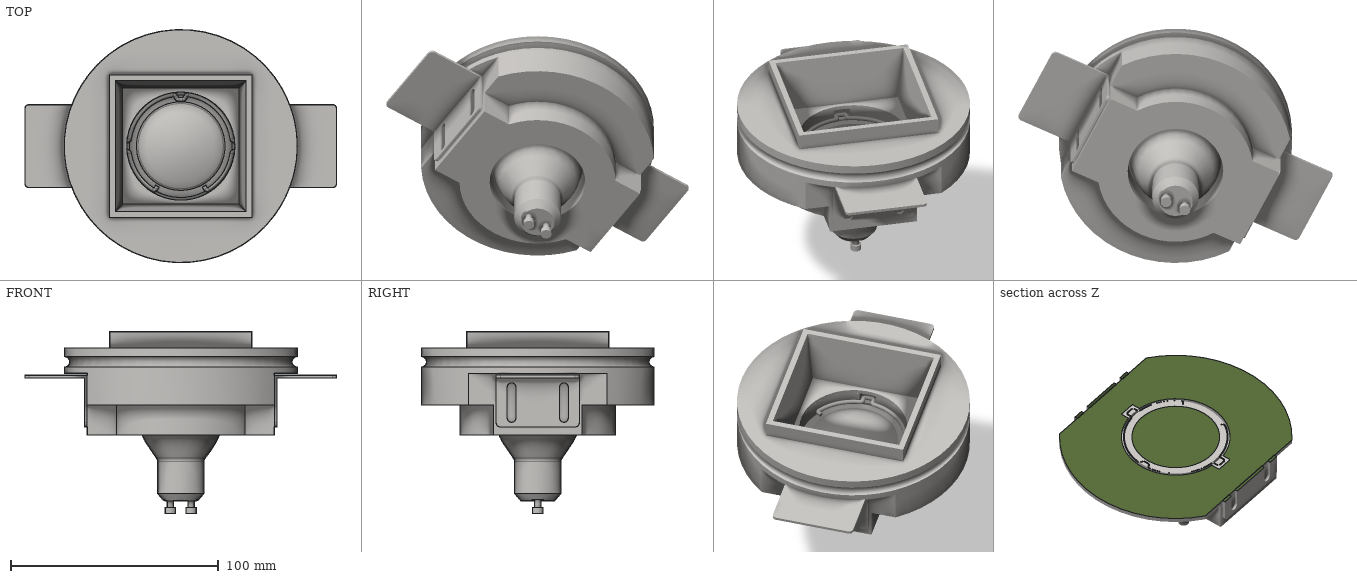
import cadquery as cq
import math


HOUSING_RADIUS = 56.045
HOUSING_DEPTH = 27.5
GROOVE_RADIUS = 2.5
GROOVE_Z = -6.7
FLAT_X = 45.0
FLAT_TOP_Z = -12.3
HUB_RADIUS = 37.5
HUB_BOTTOM_Z = -42.0
ARM_WIDTH = 42.75
BORE_RADIUS = 26.0
LAMP_HOLE_RADIUS = 23.0

FRAME_SIZE = 68.5
FRAME_TOP_Z = 7.8
FRAME_OPENING = 63.0
FRAME_FLOOR_SIZE = 55.8
FRAME_FLOOR_Z = -17.5
FRAME_FLOOR_THICKNESS = 2.0
FRAME_BOTTOM_Z = FRAME_FLOOR_Z - FRAME_FLOOR_THICKNESS

BRACKET_THICKNESS = 1.4
BRACKET_WIDTH = 40.0
BRACKET_TIP_X = 75.0
BRACKET_TOP_Z = -13.1
BRACKET_BOTTOM_Z = -38.0
BRACKET_CORNER_RADIUS = 2.0
SLOT_LENGTH = 19.0
SLOT_WIDTH = 4.2
SLOT_SPACING = 25.2
SLOT_CENTER_Z = -26.3

RIM_RADIUS = 24.7
RIM_TOP_Z = -25.2
RIM_THICKNESS = 2.0
RIM_BOTTOM_Z = RIM_TOP_Z - RIM_THICKNESS
REFLECTOR_TOP_RADIUS = 22.3
REFLECTOR_MIDDLE = (18.6, HUB_BOTTOM_Z)
NECK_TOP = (11.8, -52.9)
NECK_MIDDLE = (11.3, -53.7)
BASE_RADIUS = 11.2
NECK_BOTTOM_Z = -54.7
CONE_TOP_Z = -70.0
BASE_BOTTOM_Z = -73.6
BASE_BOTTOM_RADIUS = 8.1
PIN_RECESS_RADIUS = 3.7
PIN_RECESS_DEPTH = 0.6
PIN_RECESS_Z = BASE_BOTTOM_Z + PIN_RECESS_DEPTH

LENS_RADIUS = 21.3
DOME_EDGE_RADIUS = 20.5
LENS_EDGE_HEIGHT = 0.5
DOME_EDGE_Z = RIM_TOP_Z + LENS_EDGE_HEIGHT
LENS_APEX_Z = -19.0

PIN_SPACING = 10.0
PIN_RADIUS = 1.6
PIN_HEAD_RADIUS = 2.55
PIN_HEAD_TOP_Z = -76.7
PIN_BOTTOM_Z = -79.7

WIRE_RADIUS = 1.0
CLIP_CLEARANCE = 0.05
CLIP_RADIUS = BORE_RADIUS - WIRE_RADIUS - CLIP_CLEARANCE
CLIP_Z = RIM_TOP_Z + WIRE_RADIUS
CLIP_END_ANGLE = 239.8
LOOP_TIP_Y = 22.5
CLIP_END_RADIUS = 22.3
LOOP_TIP_HALF_WIDTH = 1.7
LOOP_MOUTH_HALF_WIDTH = 2.8
EAR_HALF_WIDTH = 2.5
EAR_TIP_X = 28.5
CLIP_BEND_RADIUS = 1.2
EAR_POCKET_WIDTH = 8.2
EAR_POCKET_CLEARANCE = 0.5
EAR_POCKET_TIP_X = EAR_TIP_X + WIRE_RADIUS + EAR_POCKET_CLEARANCE


def cylinder(radius, bottom_z, top_z):
    return cq.Workplane("XY").workplane(offset=bottom_z).circle(radius).extrude(top_z - bottom_z)


def block(size_x, size_y, bottom_z, top_z, center_x=0.0):
    plane = cq.Workplane("XY").workplane(offset=bottom_z).center(center_x, 0)
    return plane.rect(size_x, size_y).extrude(top_z - bottom_z)


def revolve_profile(profile):
    """Turn a closed radius-height profile around the Z axis."""
    return profile.close().revolve(360, (0, 0, 0), (0, 1, 0))


def make_housing():
    body = cylinder(HOUSING_RADIUS, -HOUSING_DEPTH, 0)
    groove = cq.Workplane("XZ").center(HOUSING_RADIUS, GROOVE_Z).circle(GROOVE_RADIUS)
    body = body.cut(groove.revolve(360, (-HOUSING_RADIUS, 0, 0), (-HOUSING_RADIUS, 1, 0)))

    offcut = HOUSING_RADIUS - FLAT_X
    for side in (-1, 1):
        center_x = side * (FLAT_X + offcut / 2)
        body = body.cut(block(offcut, 2 * HOUSING_RADIUS, -HOUSING_DEPTH, FLAT_TOP_Z, center_x))

    body = body.union(cylinder(HUB_RADIUS, HUB_BOTTOM_Z, -HOUSING_DEPTH))
    body = body.union(block(2 * FLAT_X, ARM_WIDTH, HUB_BOTTOM_Z, -HOUSING_DEPTH))

    body = body.cut(block(FRAME_SIZE, FRAME_SIZE, FRAME_BOTTOM_Z, 0))
    body = body.cut(cylinder(BORE_RADIUS, RIM_BOTTOM_Z, FRAME_BOTTOM_Z))
    body = body.cut(cylinder(LAMP_HOLE_RADIUS, HUB_BOTTOM_Z, RIM_BOTTOM_Z))
    return body.cut(block(2 * EAR_POCKET_TIP_X, EAR_POCKET_WIDTH, RIM_TOP_Z, FRAME_BOTTOM_Z))


def make_frame():
    body = block(FRAME_SIZE, FRAME_SIZE, FRAME_BOTTOM_Z, FRAME_TOP_Z)
    opening = (
        cq.Workplane("XY")
        .workplane(offset=FRAME_FLOOR_Z)
        .rect(FRAME_FLOOR_SIZE, FRAME_FLOOR_SIZE)
        .workplane(offset=FRAME_TOP_Z - FRAME_FLOOR_Z)
        .rect(FRAME_OPENING, FRAME_OPENING)
        .loft(ruled=True)
    )
    return body.cut(opening).cut(cylinder(BORE_RADIUS, FRAME_BOTTOM_Z, FRAME_FLOOR_Z))


def make_bracket():
    """L-shaped bracket on the +X flat, with a horizontal wing and a slotted plate."""
    wing_length = BRACKET_TIP_X - FLAT_X
    wing = block(
        wing_length,
        BRACKET_WIDTH,
        BRACKET_TOP_Z - BRACKET_THICKNESS,
        BRACKET_TOP_Z,
        FLAT_X + wing_length / 2,
    )
    wing = wing.edges("|Z and >X").fillet(BRACKET_CORNER_RADIUS)

    plate = block(
        BRACKET_THICKNESS,
        BRACKET_WIDTH,
        BRACKET_BOTTOM_Z,
        BRACKET_TOP_Z,
        FLAT_X + BRACKET_THICKNESS / 2,
    )
    plate = plate.edges("|X and <Z").fillet(BRACKET_CORNER_RADIUS)
    slots = (
        cq.Workplane("YZ")
        .workplane(offset=FLAT_X)
        .center(0, SLOT_CENTER_Z)
        .pushPoints([(-SLOT_SPACING / 2, 0), (SLOT_SPACING / 2, 0)])
        .slot2D(SLOT_LENGTH, SLOT_WIDTH, 90)
        .extrude(BRACKET_THICKNESS)
    )
    return wing.union(plate).cut(slots)


def make_lamp():
    profile = (
        cq.Workplane("XZ")
        .moveTo(0, RIM_TOP_Z)
        .lineTo(RIM_RADIUS, RIM_TOP_Z)
        .lineTo(RIM_RADIUS, RIM_BOTTOM_Z)
        .lineTo(REFLECTOR_TOP_RADIUS, RIM_BOTTOM_Z)
        .threePointArc(REFLECTOR_MIDDLE, NECK_TOP)
        .threePointArc(NECK_MIDDLE, (BASE_RADIUS, NECK_BOTTOM_Z))
        .lineTo(BASE_RADIUS, CONE_TOP_Z)
        .lineTo(BASE_BOTTOM_RADIUS, BASE_BOTTOM_Z)
        .lineTo(0, BASE_BOTTOM_Z)
    )
    body = revolve_profile(profile)
    recess = cylinder(PIN_RECESS_RADIUS, BASE_BOTTOM_Z, PIN_RECESS_Z)
    for side in (-1, 1):
        body = body.cut(recess.translate((side * PIN_SPACING / 2, 0, 0)))
    return body


def make_lens():
    """Spherical dome with a bevelled edge, resting on the lamp's flat front."""
    height = LENS_APEX_Z - DOME_EDGE_Z
    dome_radius = (DOME_EDGE_RADIUS**2 + height**2) / (2 * height)
    half_angle = math.asin(DOME_EDGE_RADIUS / dome_radius) / 2
    arc_middle = (
        dome_radius * math.sin(half_angle),
        LENS_APEX_Z - dome_radius * (1 - math.cos(half_angle)),
    )
    profile = (
        cq.Workplane("XZ")
        .moveTo(0, RIM_TOP_Z)
        .lineTo(LENS_RADIUS, RIM_TOP_Z)
        .lineTo(DOME_EDGE_RADIUS, DOME_EDGE_Z)
        .threePointArc(arc_middle, (0, LENS_APEX_Z))
    )
    return revolve_profile(profile)


def make_pin():
    shank = cylinder(PIN_RADIUS, PIN_HEAD_TOP_Z, PIN_RECESS_Z)
    return shank.union(cylinder(PIN_HEAD_RADIUS, PIN_BOTTOM_Z, PIN_HEAD_TOP_Z))


def clip_point(radius, angle):
    radians = math.radians(angle)
    return (radius * math.cos(radians), radius * math.sin(radians))


def make_clip():
    """Open wire ring with an ear on each side, a loop at +Y and inward-bent ends."""
    ear_angle = math.degrees(math.asin(EAR_HALF_WIDTH / CLIP_RADIUS))
    loop_angle = math.degrees(math.asin(LOOP_MOUTH_HALF_WIDTH / CLIP_RADIUS))
    lower_middle = (CLIP_END_ANGLE + 180 + ear_angle) / 2
    upper_middle = (180 - ear_angle + 90 + loop_angle) / 2

    def ring(angle):
        return clip_point(CLIP_RADIUS, angle)

    path = (
        cq.Workplane("XY")
        .workplane(offset=CLIP_Z)
        .moveTo(*clip_point(CLIP_END_RADIUS, CLIP_END_ANGLE))
        .lineTo(*ring(CLIP_END_ANGLE))
        .threePointArc(ring(lower_middle), ring(180 + ear_angle))
        .lineTo(-EAR_TIP_X, -EAR_HALF_WIDTH)
        .lineTo(-EAR_TIP_X, EAR_HALF_WIDTH)
        .lineTo(*ring(180 - ear_angle))
        .threePointArc(ring(upper_middle), ring(90 + loop_angle))
        .lineTo(-LOOP_TIP_HALF_WIDTH, LOOP_TIP_Y)
        .lineTo(LOOP_TIP_HALF_WIDTH, LOOP_TIP_Y)
        .lineTo(*ring(90 - loop_angle))
        .threePointArc(ring(180 - upper_middle), ring(ear_angle))
        .lineTo(EAR_TIP_X, EAR_HALF_WIDTH)
        .lineTo(EAR_TIP_X, -EAR_HALF_WIDTH)
        .lineTo(*ring(-ear_angle))
        .threePointArc(ring(180 - lower_middle), ring(180 - CLIP_END_ANGLE))
        .lineTo(*clip_point(CLIP_END_RADIUS, 180 - CLIP_END_ANGLE))
        .wire()
        .val()
    )
    bends = path.Vertices()[1:-1]
    smooth_path = path.fillet2D(CLIP_BEND_RADIUS, bends)
    start = cq.Plane(origin=smooth_path.startPoint(), normal=smooth_path.tangentAt(0))
    return cq.Workplane(start).circle(WIRE_RADIUS).sweep(cq.Workplane(smooth_path))


housing = make_housing()
frame = make_frame()
lamp = make_lamp()
lens = make_lens()
clip = make_clip()

brackets = []
for turn in (0, 180):
    brackets.append(make_bracket().rotate((0, 0, 0), (0, 0, 1), turn).val())

pins = []
for side in (-1, 1):
    pins.append(make_pin().translate((side * PIN_SPACING / 2, 0, 0)).val())

result = cq.Compound.makeCompound(
    [housing.val(), frame.val(), lamp.val(), lens.val(), clip.val(), *brackets, *pins]
)